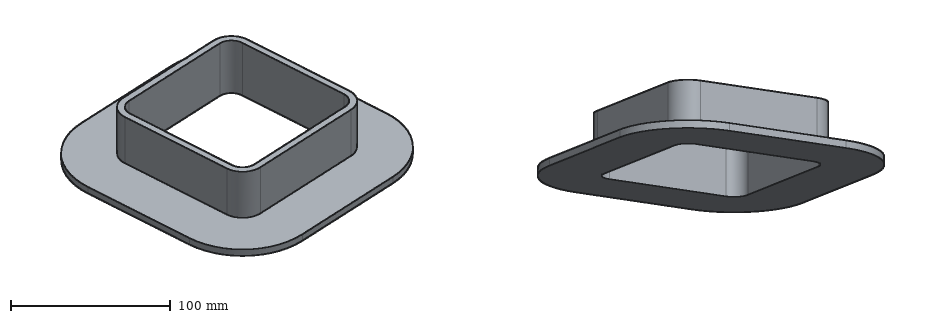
import cadquery as cq

flange_side = 185.0
total_height = 40.0
thickness = 5.0
opening_side = 105.0
opening_corner_radius = 10.0
flange_corner_radius = 50.0

collar_side = opening_side + 2 * thickness
collar_corner_radius = opening_corner_radius + thickness


def rounded_square_block(side, corner_radius, height):
    """Square block standing on Z = 0 with rounded vertical edges."""
    block = cq.Workplane("XY").rect(side, side).extrude(height)
    return block.edges("|Z").fillet(corner_radius)


flange = rounded_square_block(flange_side, flange_corner_radius, thickness)
collar = rounded_square_block(collar_side, collar_corner_radius, total_height)
opening = rounded_square_block(opening_side, opening_corner_radius, total_height)

result = flange.union(collar).cut(opening)